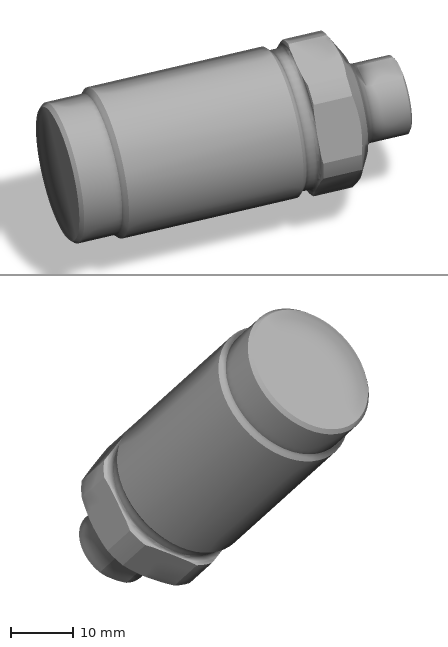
import cadquery as cq
import math


barrel_radius = 25.0 / 2
neck_radius = 11.65
end_chamfer_radial = 0.6
end_chamfer_length = 0.65
shoulder_length = 0.85
barrel_start = 7.1
barrel_end = 38.4

hex_across_flats = 24.0
hex_corner_radius = 13.0
hex_start = 40.7
hex_end = 47.25
neck_end = 39.95
neck_fillet = 0.6
hex_seat_radius = 12.45
housing_length = 49.6
back_face_radius = 9.1

total_length = 58.0
flange_radius = 7.15
flange_end = 50.3
flange_cone_end = 51.15
stem_radius = 6.55
tip_radius = 6.1
tip_chamfer_length = 0.35
stem_across_flats = 12.05
flat_start = 51.5
cutter_clearance = 0.6


def revolve_about_y(profile):
    """Turn a closed (radius, y) profile drawn in the XY plane around the Y axis."""
    return profile.close().revolve(360, (0, 0, 0), (0, 1, 0))


def make_hex_envelope():
    """Hexagonal bar with corners on the X axis."""
    across_corners = hex_across_flats / math.cos(math.radians(30))
    return (
        cq.Workplane("XZ", origin=(0, housing_length, 0))
        .polygon(6, across_corners)
        .extrude(housing_length - neck_end)
    )


def make_barrel():
    profile = (
        cq.Workplane("XY")
        .moveTo(0, 0)
        .lineTo(neck_radius - end_chamfer_radial, 0)
        .lineTo(neck_radius, end_chamfer_length)
        .lineTo(neck_radius, barrel_start)
        .lineTo(barrel_radius, barrel_start + shoulder_length)
        .lineTo(barrel_radius, barrel_end - shoulder_length)
        .lineTo(neck_radius, barrel_end)
        .lineTo(neck_radius, neck_end)
        .lineTo(0, neck_end)
    )
    return revolve_about_y(profile)


def make_hex_head():
    """Turned blank, filleted into the neck and chamfered at both ends, cut to a hexagon."""
    fillet_middle = neck_fillet * (1 - math.sqrt(0.5))
    blank = revolve_about_y(
        cq.Workplane("XY")
        .moveTo(0, neck_end)
        .lineTo(neck_radius, neck_end)
        .threePointArc(
            (neck_radius + fillet_middle, neck_end + neck_fillet - fillet_middle),
            (neck_radius + neck_fillet, neck_end + neck_fillet),
        )
        .lineTo(hex_seat_radius, neck_end + neck_fillet)
        .lineTo(hex_corner_radius, hex_start)
        .lineTo(hex_corner_radius, hex_end)
        .lineTo(back_face_radius, housing_length)
        .lineTo(0, housing_length)
    )
    return blank.intersect(make_hex_envelope())


def make_housing():
    return make_barrel().union(make_hex_head())


def make_flat_cutter(side):
    """Cutter for one wrench flat; its end slopes at 45 degrees down to the flange."""
    flat_height = stem_across_flats / 2
    outer_height = flange_radius + cutter_clearance
    slope_drop = outer_height - flat_height
    return (
        cq.Workplane("YZ")
        .polyline([
            (flat_start, side * flat_height),
            (total_length, side * flat_height),
            (total_length, side * outer_height),
            (flat_start - slope_drop, side * outer_height),
        ])
        .close()
        .extrude(flange_radius, both=True)
    )


def make_connector():
    connector = revolve_about_y(
        cq.Workplane("XY")
        .moveTo(0, housing_length)
        .lineTo(flange_radius, housing_length)
        .lineTo(flange_radius, flange_end)
        .lineTo(stem_radius, flange_cone_end)
        .lineTo(stem_radius, total_length - tip_chamfer_length)
        .lineTo(tip_radius, total_length)
        .lineTo(0, total_length)
    )
    for side in (1, -1):
        connector = connector.cut(make_flat_cutter(side))
    return connector


housing = make_housing()
connector = make_connector()
result = cq.Compound.makeCompound([housing.val(), connector.val()])